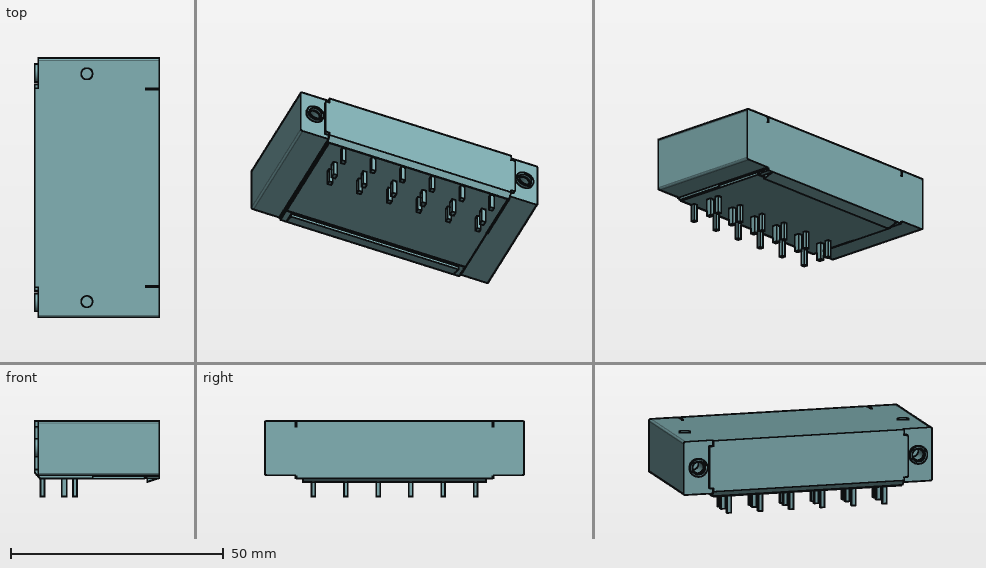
import cadquery as cq

length = 60.95
depth = 29.25
height = 17.8

housing_half_width = 23.35
housing_bottom = 4.3
lead_in_depth = 1.15
lead_in_height = 1.3

block_front = 0.8
block_bottom = 5.0
block_edge_radius = 0.5

wing_reach = 1.0
wing_bottom = 6.35
wing_top = 16.45
wing_corner_radius = 0.3

bushing_y = 26.95
bushing_z = 11.45
bushing_radius = 2.15
counterbore_radius = 1.6
counterbore_depth = block_front
bushing_bore_radius = 1.35
bushing_bore_depth = 4.9
mounting_hole_x = 12.25
mounting_hole_y = 26.75
mounting_hole_radius = 1.35
mounting_hole_depth = height - bushing_z

latch_front = 26.4
latch_bottom = 3.4
latch_half_width = 21.5

relief_width = 0.35
top_relief_front = 26.1
top_relief_depth = height - wing_top
bottom_relief_front = 13.6
bottom_relief_height = 0.5

plate_front = lead_in_depth
plate_rear = 25.8
plate_bottom = 4.15
plate_half_width = housing_half_width - relief_width

pin_width = 1.0
pin_pitch = 7.6
pins_per_row = 6
pin_rows = ((1.8, 1.0), (6.95, 1.2), (9.45, 1.0))
pin_embed = 1.8

SIDES = (-1, 1)


def box_between(x0, x1, y0, y1, z0, z1):
    """Box with two opposite corners at the given coordinates; y0 and y1 may come in either order."""
    low_y = min(y0, y1)
    box = cq.Workplane("XY").box(x1 - x0, abs(y1 - y0), z1 - z0, centered=False)
    return box.translate((x0, low_y, z0))


def side_profile(points, half_width):
    """Extrude an XZ outline symmetrically about Y = 0."""
    return cq.Workplane("XZ").polyline(points).close().extrude(half_width, both=True)


def bushing_cylinder(side, radius, x_length):
    plane = cq.Workplane("YZ", origin=(0, side * bushing_y, bushing_z))
    return plane.circle(radius).extrude(x_length)


def make_housing():
    outline = [
        (0, height),
        (depth, height),
        (depth, housing_bottom),
        (lead_in_depth, housing_bottom),
        (0, housing_bottom + lead_in_height),
    ]
    return side_profile(outline, housing_half_width)


def make_latch_rib():
    outline = [
        (latch_front, housing_bottom),
        (latch_front, latch_bottom),
        (depth, housing_bottom),
    ]
    return side_profile(outline, latch_half_width)


def make_end_block(side):
    block = box_between(
        block_front, depth, side * housing_half_width, side * length / 2, block_bottom, height
    )
    outer_face = ">Y" if side > 0 else "<Y"
    return block.faces(outer_face).edges("|X").fillet(block_edge_radius)


def make_wings():
    half_width = housing_half_width + wing_reach
    wings = box_between(0, block_front, -half_width, half_width, wing_bottom, wing_top)
    return wings.edges("|X").fillet(wing_corner_radius)


def make_side_reliefs(side):
    inner_y = side * (housing_half_width - relief_width)
    outer_y = side * housing_half_width
    top = box_between(top_relief_front, depth, inner_y, outer_y, height - top_relief_depth, height)
    bottom = box_between(
        bottom_relief_front, depth, inner_y, outer_y,
        housing_bottom, housing_bottom + bottom_relief_height,
    )
    return top.union(bottom)


def make_bushing_bore(side):
    counterbore = bushing_cylinder(side, counterbore_radius, counterbore_depth)
    bore = bushing_cylinder(side, bushing_bore_radius, bushing_bore_depth)
    return counterbore.union(bore)


def make_mounting_hole(side):
    plane = cq.Workplane("XY", origin=(mounting_hole_x, side * mounting_hole_y, height))
    return plane.circle(mounting_hole_radius).extrude(-mounting_hole_depth)


def make_pin_plate():
    return box_between(
        plate_front, plate_rear, -plate_half_width, plate_half_width, plate_bottom, housing_bottom
    )


def make_pin_row(row_x, pin_thickness):
    first_y = -pin_pitch * (pins_per_row - 1) / 2
    centers = [(row_x, first_y + i * pin_pitch) for i in range(pins_per_row)]
    pin_top = housing_bottom + pin_embed
    return cq.Workplane("XY").pushPoints(centers).rect(pin_thickness, pin_width).extrude(pin_top)


body = make_housing().union(make_latch_rib()).union(make_wings())
for side in SIDES:
    body = body.union(make_end_block(side))
    body = body.union(bushing_cylinder(side, bushing_radius, block_front))
    body = body.cut(make_side_reliefs(side))
    body = body.cut(make_bushing_bore(side))
    body = body.cut(make_mounting_hole(side))

body = body.union(make_pin_plate())
for row_x, pin_thickness in pin_rows:
    body = body.union(make_pin_row(row_x, pin_thickness))

result = body